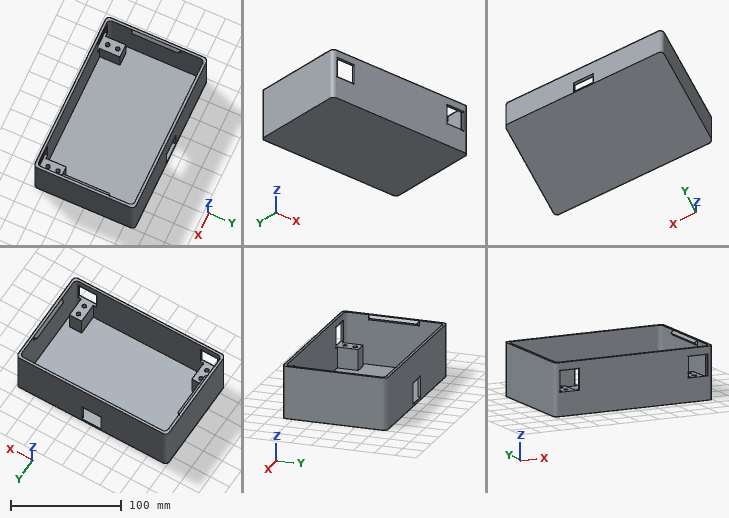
import cadquery as cq

length = 160.0
width = 100.0
height = 50.0
wall = 2.5
floor = 2.5
corner_radius = 4.0

window_size = 20.0
front_window_offset = 15.0
front_window_sill = 22.5

post_width = 13.0
post_depth = 20.0
hole_diameter = 3.8
hole_spacing = 10.0
hole_depth = 10.0
first_hole_distance = 5.0

ridge_length = 49.0
ridge_height = 4.8
ridge_reach = 2.7
ridge_end_taper = 2.0


def corner_box(size_x, size_y, size_z, x, y, z):
    """Box with its lower left front corner at (x, y, z)."""
    return cq.Workplane("XY").box(size_x, size_y, size_z, centered=False).translate((x, y, z))


def window_cutter(centre_x, y, sill):
    return corner_box(window_size, wall, window_size, centre_x - window_size / 2, y, sill)


def make_tray():
    outer = corner_box(length, width, height, 0, 0, 0).edges("|Z").fillet(corner_radius)
    cavity = corner_box(length - 2 * wall, width - 2 * wall, height - floor, wall, wall, floor)
    return outer.cut(cavity.edges("|Z").fillet(corner_radius))


def make_post(centre_x):
    post = corner_box(
        post_width, post_depth, front_window_sill - floor, centre_x - post_width / 2, wall, floor
    )
    for hole in range(2):
        hole_y = wall + first_hole_distance + hole * hole_spacing
        cutter = (
            cq.Workplane("XY", origin=(centre_x, hole_y, front_window_sill))
            .circle(hole_diameter / 2)
            .extrude(-hole_depth)
        )
        post = post.cut(cutter)
    return post


def make_left_ridge():
    """Triangular ridge on the left wall, with both ends sloping back to the wall."""
    start_y = (width - ridge_length) / 2
    ridge = (
        cq.Workplane("XZ", origin=(wall, start_y + ridge_length, height))
        .polyline([(0, 0), (ridge_reach, -ridge_height / 2), (0, -ridge_height)])
        .close()
        .extrude(ridge_length)
    )
    end_taper_outline = (
        cq.Workplane("XY", origin=(wall, start_y, height))
        .polyline(
            [
                (0, 0),
                (ridge_reach, ridge_end_taper),
                (ridge_reach, ridge_length - ridge_end_taper),
                (0, ridge_length),
            ]
        )
        .close()
        .extrude(-ridge_height)
    )
    return ridge.intersect(end_taper_outline)


result = make_tray()
for post_x in (front_window_offset, length - front_window_offset):
    result = result.cut(window_cutter(post_x, 0, front_window_sill))
    result = result.union(make_post(post_x))
result = result.cut(window_cutter(length / 2, width - wall, floor))

left_ridge = make_left_ridge()
right_ridge = left_ridge.mirror("YZ", (length / 2, 0, 0))
result = result.union(left_ridge).union(right_ridge)